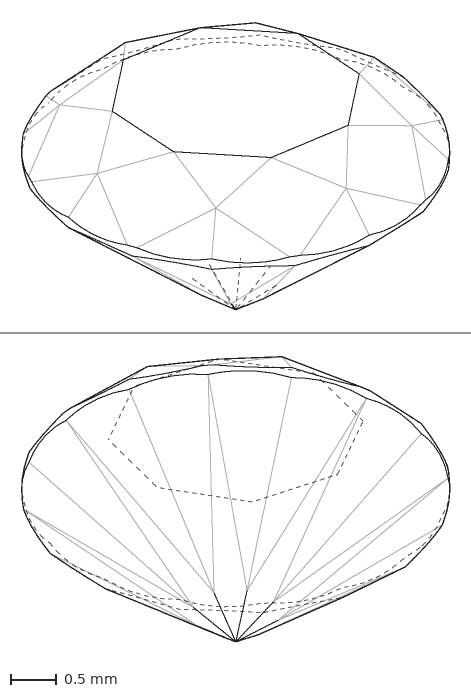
import cadquery as cq
import math

girdle_diameter = 4.66
total_height = 2.78
table_ratio = 0.60
symmetry = 8

crown_main_slope = 0.760
upper_girdle_slope = 1.028
pavilion_main_slope = 0.837
lower_girdle_slope = 0.870
star_tip_radius = 1.928

girdle_radius = girdle_diameter / 2
table_radius = girdle_radius * table_ratio
sector = 360 / symmetry
half_sector = sector / 2
quarter_sector = sector / 4
tool_size = 3 * girdle_diameter

crown_side = 1
pavilion_side = -1


def angle_cos(degrees):
    return math.cos(math.radians(degrees))


star_tip_reach = star_tip_radius * angle_cos(half_sector)
star_tip_z = total_height - crown_main_slope * (star_tip_reach - table_radius)

table_edge_reach = table_radius * angle_cos(half_sector)
star_slope = (total_height - star_tip_z) / (star_tip_radius - table_edge_reach)

upper_girdle_reach = star_tip_radius * angle_cos(quarter_sector)

pavilion_tip_z = pavilion_main_slope * girdle_radius
lower_girdle_reach = girdle_radius * angle_cos(quarter_sector)


def cut_facet(body, azimuth, reach, height, slope, side):
    """Cut one flat facet.

    The facet plane passes through the point at distance `reach` from the axis
    and level `height`, in the direction `azimuth`. `side` is the
    vertical part of the outward normal: `crown_side` or `pavilion_side`.
    """
    angle = math.radians(azimuth)
    outward = cq.Vector(math.cos(angle), math.sin(angle), 0)
    tangent = cq.Vector(-math.sin(angle), math.cos(angle), 0)
    point = outward * reach + cq.Vector(0, 0, height)
    normal = outward * slope + cq.Vector(0, 0, side)
    facet_plane = cq.Plane(origin=point, xDir=tangent, normal=normal)
    block = cq.Workplane(facet_plane).rect(tool_size, tool_size).extrude(tool_size)
    return body.cut(block)


def cut_crown(body):
    for index in range(symmetry):
        azimuth = index * sector
        body = cut_facet(body, azimuth, table_radius, total_height, crown_main_slope, crown_side)
        body = cut_facet(body, azimuth + half_sector, table_edge_reach, total_height, star_slope, crown_side)
        for turn in (-quarter_sector, quarter_sector):
            facet_azimuth = azimuth + turn
            body = cut_facet(
                body, facet_azimuth, upper_girdle_reach, star_tip_z, upper_girdle_slope, crown_side
            )
    return body


def cut_pavilion(body):
    for index in range(symmetry):
        azimuth = index * sector
        body = cut_facet(body, azimuth, 0, 0, pavilion_main_slope, pavilion_side)
        for turn in (-quarter_sector, quarter_sector):
            facet_azimuth = azimuth + turn
            body = cut_facet(
                body, facet_azimuth, lower_girdle_reach, pavilion_tip_z, lower_girdle_slope, pavilion_side
            )
    return body


rough = cq.Workplane("XY").circle(girdle_radius).extrude(total_height)
gem = cut_pavilion(cut_crown(rough))
result = cq.Workplane("XY").newObject([gem.solids().val()])